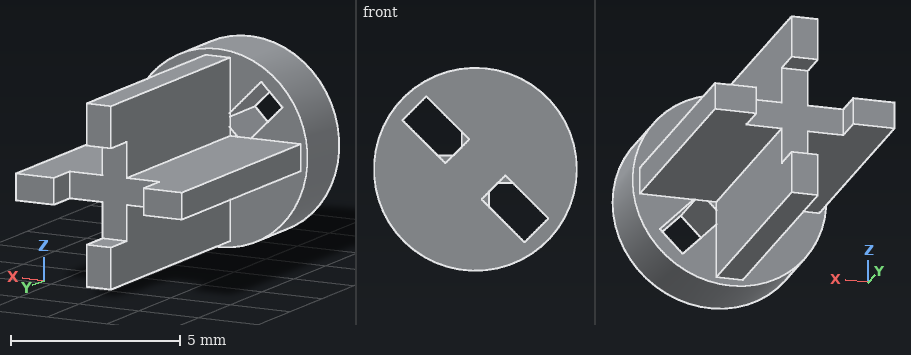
import cadquery as cq

total_length = 9.5
head_diameter = 6.0
head_thickness = 2.0
fin_span = 5.56
fin_thickness = 0.82
notch_width = 3.0
notch_depth = 1.0
slot_length = 1.8
slot_width = 1.0
slot_center_radius = 1.65
slot_angle = 135.0

stem_length = total_length - head_thickness


def box_along_y(size_x, size_z, start_y, length):
    """Box centred on the Y axis, reaching from start_y towards +Y."""
    return cq.Workplane("XY").box(size_x, length, size_z).translate((0, start_y + length / 2, 0))


def make_head():
    return cq.Workplane("XZ").circle(head_diameter / 2).extrude(-head_thickness)


def make_stem():
    """Two crossed fins with a square notch in the middle of their free end."""
    flat_fin = box_along_y(fin_span, fin_thickness, head_thickness, stem_length)
    upright_fin = box_along_y(fin_thickness, fin_span, head_thickness, stem_length)
    notch = box_along_y(notch_width, notch_width, total_length - notch_depth, notch_depth)
    return flat_fin.union(upright_fin).cut(notch)


def make_slot(side):
    """Rectangular slot through the head, lying on the diagonal between fins."""
    slot = box_along_y(slot_length, slot_width, 0, head_thickness)
    slot = slot.translate((side * slot_center_radius, 0, 0))
    return slot.rotate((0, 0, 0), (0, 1, 0), -slot_angle)


head = make_head()
for side in (-1, 1):
    head = head.cut(make_slot(side))

result = head.union(make_stem())